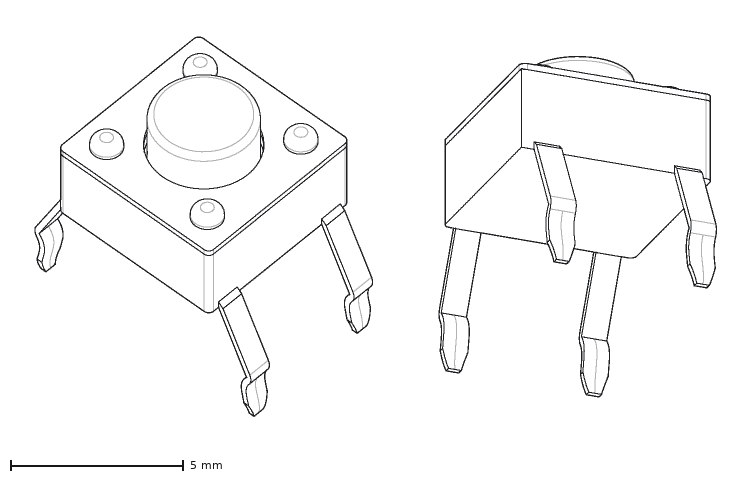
import cadquery as cq

body_width = 6.0
housing_bottom = 3.99
housing_height = 2.51
housing_top = housing_bottom + housing_height
cover_thickness = 0.2
cover_top = housing_top + cover_thickness
corner_radius = 0.2

button_diameter = 3.3
button_top = 8.0
button_fillet = 0.2
well_diameter = 3.5
well_depth = 0.4

rivet_diameter = 1.0
rivet_height = 0.4
rivet_fillet = 0.3
rivet_offset = 2.0

leg_span = 8.57
leg_width = 0.8
leg_offset_y = 2.2
tip_width = 0.4
tip_height = 0.6


def square_plate(bottom, height):
    return cq.Workplane("XY").workplane(offset=bottom).rect(body_width, body_width).extrude(height)


def round_bar(diameter, bottom, top):
    return cq.Workplane("XY").workplane(offset=bottom).circle(diameter / 2).extrude(top - bottom)


def make_housing():
    """Block with the button rising from its well; the -X+Y corner stays sharp."""
    well_floor = housing_top - well_depth
    block = square_plate(housing_bottom, housing_height)
    block = block.edges("|Z and (>X or <Y)").fillet(corner_radius)
    well = round_bar(well_diameter, well_floor, housing_top)
    button = round_bar(button_diameter, well_floor, button_top)
    button = button.faces(">Z").edges().fillet(button_fillet)
    return block.cut(well).union(button)


def make_cover():
    """Thin plate with four rounded corners and a clearance hole for the button."""
    plate = square_plate(housing_top, cover_thickness).edges("|Z").fillet(corner_radius)
    return plate.cut(round_bar(well_diameter, housing_top, cover_top))


def make_rivet(x, y):
    """Domed head with a small flat on top."""
    head = round_bar(rivet_diameter, cover_top, cover_top + rivet_height)
    return head.faces(">Z").edges().fillet(rivet_fillet).translate((x, y, 0))


def leg_profile():
    """Side outline of the bent strip on the -X side, from the housing wall down to the tip."""
    wall = -body_width / 2
    knee = -leg_span / 2
    return (
        cq.Workplane("XZ")
        .moveTo(wall, housing_bottom)
        .lineTo(wall, 4.23)
        .lineTo(-3.18, 4.08)
        .lineTo(-4.24, 1.98)
        .threePointArc((knee, 1.78), (-4.225, 1.58))
        .spline([(-4.1, 1.17), (-4.2, tip_height), (-4.225, 0)], includeCurrent=True)
        .lineTo(-4.03, 0)
        .spline([(-4.0, tip_height), (-3.9, 1.2), (-4.11, 1.77)], includeCurrent=True)
        .close()
    )


def make_leg(side_x, side_y):
    """Bent strip with a tapered tip, on the chosen side in X and Y."""
    strip = leg_profile().extrude(leg_width / 2, both=True)
    outline = (
        cq.Workplane("YZ")
        .moveTo(-tip_width / 2, 0)
        .lineTo(tip_width / 2, 0)
        .lineTo(leg_width / 2, tip_height)
        .lineTo(leg_width / 2, housing_top)
        .lineTo(-leg_width / 2, housing_top)
        .lineTo(-leg_width / 2, tip_height)
        .close()
        .extrude(-leg_span)
    )
    leg = strip.intersect(outline)
    if side_x > 0:
        leg = leg.mirror("YZ")
    return leg.translate((0, side_y * leg_offset_y, 0))


housing = make_housing()
cover = make_cover()
rivets = []
legs = []
for side_x in (-1, 1):
    for side_y in (-1, 1):
        rivets.append(make_rivet(side_x * rivet_offset, side_y * rivet_offset).val())
        legs.append(make_leg(side_x, side_y).val())

result = cq.Compound.makeCompound([housing.val(), cover.val(), *rivets, *legs])